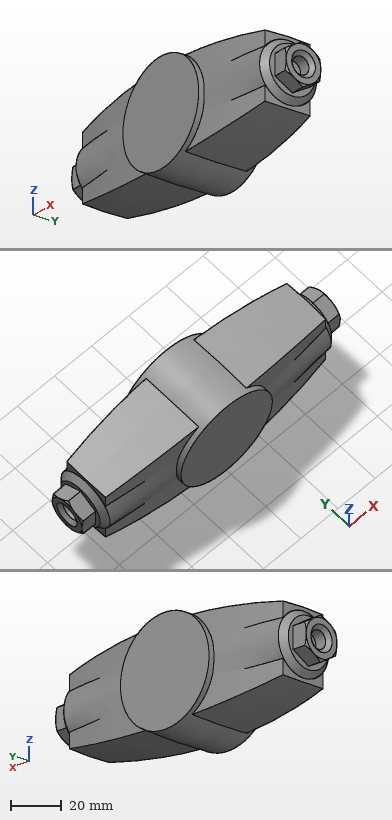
import cadquery as cq
import math

TOTAL_LENGTH = 139.0
HUB_DEPTH = 35.0
HUB_RADIUS = 25.0
DRAFT_ANGLE = 1.5

ARM_END_X = 59.5
ARM_END_HALF_HEIGHT = 15.7
ARM_MID_HALF_HEIGHT = 21.7
ARM_END_HALF_DEPTH = 11.1
ARM_MID_HALF_DEPTH = 15.3

SWELL_END_RADIUS = 14.0
SWELL_MID_X = 40.3
SWELL_MID_CREST = 14.5
SWELL_NECK_X = 23.6
SWELL_NECK_HALF_HEIGHT = 6.7
SWELL_NECK_CREST = 14.9
SWELL_ROOT_X = 13.9
SWELL_ROOT_HALF_HEIGHT = 3.9
SWELL_ROOT_CREST = 15.2

COLLAR_LENGTH = 2.8
COLLAR_ROOT_LENGTH = 2.8
COLLAR_TIP_RADIUS = SWELL_END_RADIUS - COLLAR_LENGTH
COLLAR_TIP_X = ARM_END_X + COLLAR_LENGTH

NUT_LENGTH = TOTAL_LENGTH / 2 - COLLAR_TIP_X
NUT_ACROSS_FLATS = 17.1
NUT_CORNER_RADIUS = NUT_ACROSS_FLATS / math.sqrt(3)
NUT_FACE_RADIUS = NUT_ACROSS_FLATS / 2
NUT_CHAMFER_ANGLE = 30.0
NUT_BORE_RADIUS = 4.0
COUNTERSINK_RADIUS = 5.8


def arc_height(x, mid, end):
    """Offset from the X axis, at x, of the arc through (0, mid) and (+-ARM_END_X, end)."""
    sagitta = mid - end
    radius = (ARM_END_X**2 + sagitta**2) / (2 * sagitta)
    return mid - radius + math.sqrt(radius**2 - x**2)


def bowed_outline(plane, mid, end):
    """Closed outline with straight ends and two bowed long sides."""
    return (
        cq.Workplane(plane)
        .moveTo(-ARM_END_X, end)
        .threePointArc((0, mid), (ARM_END_X, end))
        .lineTo(ARM_END_X, -end)
        .threePointArc((0, -mid), (-ARM_END_X, -end))
        .close()
    )


def both_ways_with_draft(outline):
    """Extrude an XZ outline toward -Y with draft and mirror it across the parting plane."""
    front_half = outline.extrude(HUB_DEPTH / 2, taper=DRAFT_ANGLE)
    return front_half.union(front_half.mirror("XZ"))


def make_hub():
    return both_ways_with_draft(cq.Workplane("XZ").circle(HUB_RADIUS))


def make_arms():
    drafted = both_ways_with_draft(bowed_outline("XZ", ARM_MID_HALF_HEIGHT, ARM_END_HALF_HEIGHT))
    side_limits = bowed_outline("XY", ARM_MID_HALF_DEPTH, ARM_END_HALF_DEPTH).extrude(HUB_RADIUS, both=True)
    return drafted.intersect(side_limits)


def swell_section(x, half_height, crest):
    """Section across the arm at x: flat top and bottom, round on both sides."""
    half_depth = arc_height(x, ARM_MID_HALF_DEPTH, ARM_END_HALF_DEPTH)
    return (
        cq.Workplane("YZ", origin=(x, 0, 0))
        .moveTo(-half_depth, half_height)
        .lineTo(half_depth, half_height)
        .threePointArc((crest, 0), (half_depth, -half_height))
        .lineTo(-half_depth, -half_height)
        .threePointArc((-crest, 0), (-half_depth, half_height))
        .close()
        .val()
    )


def make_swell():
    end_half_height = math.sqrt(SWELL_END_RADIUS**2 - ARM_END_HALF_DEPTH**2)
    sections = [
        swell_section(SWELL_ROOT_X, SWELL_ROOT_HALF_HEIGHT, SWELL_ROOT_CREST),
        swell_section(SWELL_NECK_X, SWELL_NECK_HALF_HEIGHT, SWELL_NECK_CREST),
        swell_section(SWELL_MID_X, end_half_height, SWELL_MID_CREST),
        swell_section(ARM_END_X, end_half_height, SWELL_END_RADIUS),
    ]
    return cq.Workplane(cq.Solid.makeLoft(sections))


def make_collar():
    """45 degree cone from the arm end to the nut seat, with a matching cone buried in the arm."""
    return (
        cq.Workplane("XY")
        .moveTo(ARM_END_X - COLLAR_ROOT_LENGTH, 0)
        .lineTo(ARM_END_X - COLLAR_ROOT_LENGTH, COLLAR_TIP_RADIUS)
        .lineTo(ARM_END_X, SWELL_END_RADIUS)
        .lineTo(COLLAR_TIP_X, COLLAR_TIP_RADIUS)
        .lineTo(COLLAR_TIP_X, 0)
        .close()
        .revolve(360, (0, 0, 0), (1, 0, 0))
    )


def make_housing():
    end_details = make_swell().union(make_collar())
    return make_hub().union(make_arms()).union(end_details).union(end_details.mirror("YZ"))


def make_nut():
    """Nut seated on the +X collar: hexagon with two corners along Z, open through its length."""
    nut_tip_x = COLLAR_TIP_X + NUT_LENGTH
    chamfer_length = (NUT_CORNER_RADIUS - NUT_FACE_RADIUS) * math.tan(math.radians(NUT_CHAMFER_ANGLE))
    countersink_depth = COUNTERSINK_RADIUS - NUT_BORE_RADIUS
    hexagon = (
        cq.Workplane("YZ", origin=(COLLAR_TIP_X, 0, 0))
        .transformed(rotate=(0, 0, 90))
        .polygon(6, 2 * NUT_CORNER_RADIUS)
        .extrude(NUT_LENGTH)
    )
    turned_profile = (
        cq.Workplane("XY")
        .moveTo(COLLAR_TIP_X, NUT_BORE_RADIUS)
        .lineTo(COLLAR_TIP_X, NUT_CORNER_RADIUS)
        .lineTo(nut_tip_x - chamfer_length, NUT_CORNER_RADIUS)
        .lineTo(nut_tip_x, NUT_FACE_RADIUS)
        .lineTo(nut_tip_x, COUNTERSINK_RADIUS)
        .lineTo(nut_tip_x - countersink_depth, NUT_BORE_RADIUS)
        .close()
        .revolve(360, (0, 0, 0), (1, 0, 0))
    )
    return hexagon.intersect(turned_profile)


housing = make_housing().solids().val()
right_nut = make_nut().solids().val()
nuts = [right_nut.rotate(cq.Vector(0, 0, 0), cq.Vector(0, 0, 1), angle) for angle in (0, 180)]

result = cq.Compound.makeCompound([housing, *nuts])